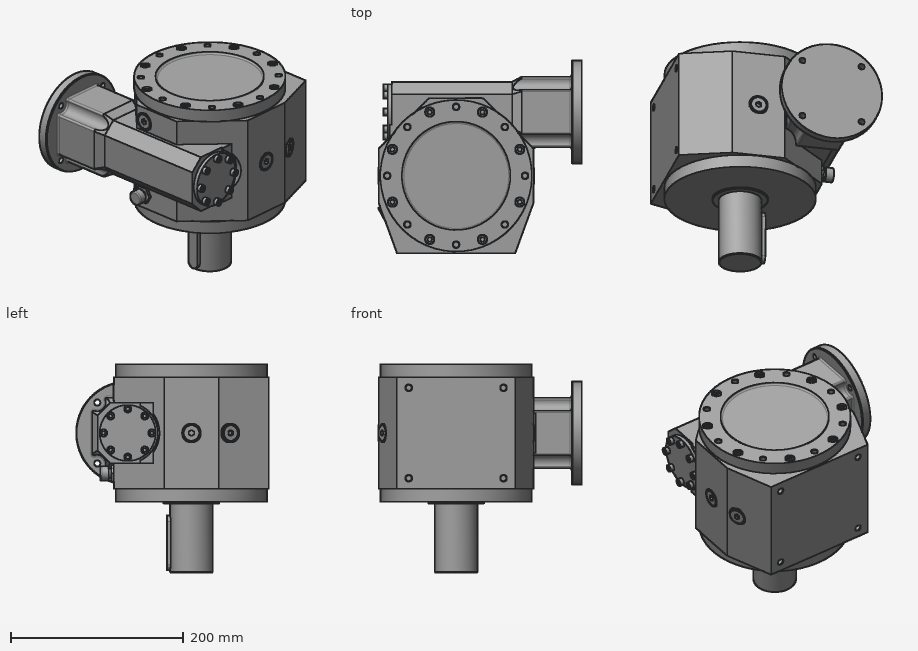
import cadquery as cq
import math


case_half = 90.0
case_height = 130.0
case_corner = 31.5
case_taper_angle = 20.0
case_half_height = case_height / 2
case_taper_run = (case_half - case_corner) * math.tan(math.radians(case_taper_angle))
case_front_half_width = case_half - case_taper_run

cover_diameter = 176.0
cover_thickness = 15.0
cover_face_z = case_half_height + cover_thickness
recess_diameter = 126.0
recess_floor_fillet = 2.0
recess_depth = 2.5
cover_bolt_circle = 160.0
cover_bolt_count = 8
cover_bolt_shift = 180.0 / cover_bolt_count
cover_hole_depth = 15.0
counterbore_diameter = 11.0
counterbore_depth = 8.0
cover_screw_diameter = 10.0
cover_screw_sink = 2.0
cover_screw_hex = 5.0
cover_screw_hex_depth = 3.0

thread_hole_diameter = 6.8
thread_hole_chamfer = 0.6

shaft_diameter = 50.0
shaft_end_z = -162.0
shaft_chamfer = 1.0
collar_diameter = 65.0
collar_height = 2.0
collar_chamfer = 0.7
key_width = 14.0
key_length = 64.0
key_top_y = 28.6
key_end_gap = 2.5

mount_hole_depth = 16.0
mount_spacing_x = 110.0
mount_spacing_z = 105.0

input_y = 74.0
housing_width = 70.0
housing_chamfer = 14.5
housing_x_min = -74.5
housing_x_max = 65.0
pad_x = -76.9
pad_top_y = 59.4
pad_clearance_radius = 35.0
case_clearance_radius = 37.0

cap_diameter = 65.0
cap_thickness = 5.0
cap_x = housing_x_min - cap_thickness
cap_bolt_circle = 56.0
cap_screw_count = 8
cap_screw_diameter = 8.5
cap_screw_height = 5.0
cap_screw_hex = 4.2
cap_screw_hex_depth = 2.5

neck_width = 82.0
neck_corner = 17.0
neck_start_x = 76.0
neck_edge_fillet = 2.0
flange_diameter = 120.0
flange_x = 134.0
flange_end_x = 146.0
flange_chamfer_length = 1.5
flange_chamfer_height = 0.7
flange_root_fillet = 2.0
root_zone_margin = 0.1
flange_bolt_circle = 100.0
flange_hole_diameter = 7.0
scallop_radius = 10.0
fairing_length = 2.2
fairing_height = 1.2
fairing_width = 46.0

plug_seat_diameter = 22.0
plug_diameter = 19.0
plug_chamfer = 0.5
plug_thickness = 3.5
plug_height = 0.5
plug_face_distance = case_half + plug_height
taper_plug_angle = 28.0
taper_plug_radius = 97.5
plug_hex = 6.0
plug_hex_depth = 4.0
rear_plug_x = 20.0
rear_plug_z = 47.0
breather_nut_width = 19.0
breather_nut_height = 3.0
breather_neck_diameter = 11.0
breather_neck_height = 3.2
breather_head_diameter = 17.0
breather_head_height = 9.6
breather_head_fillet = 1.5


def hex_corner_diameter(across_flats):
    return 2 * across_flats / math.sqrt(3)


def x_plane(x):
    """Plane across the input axis, local x along Y and local y along Z."""
    return cq.Plane(origin=(x, input_y, 0), xDir=(0, 1, 0), normal=(1, 0, 0))


def x_cylinder(diameter, x_start, x_end):
    return cq.Workplane(x_plane(x_start)).circle(diameter / 2).extrude(x_end - x_start)


def octagon_points(width, corner):
    half = width / 2
    flat = half - corner
    return [(half, -flat), (half, flat), (flat, half), (-flat, half),
            (-half, flat), (-half, -flat), (-flat, -half), (flat, -half)]


def make_case():
    outline = [
        (-case_front_half_width, -case_half),
        (case_front_half_width, -case_half),
        (case_half, -case_corner),
        (case_half, case_corner),
        (case_corner, case_half),
        (-case_corner, case_half),
        (-case_half, case_corner),
        (-case_half, -case_corner),
    ]
    case = cq.Workplane("XY").polyline(outline).close().extrude(case_half_height, both=True)
    for start_z in (case_half_height, -cover_face_z):
        cover = (
            cq.Workplane("XY").workplane(offset=start_z)
            .circle(cover_diameter / 2).extrude(cover_thickness)
        )
        case = case.union(cover)
    return case


def make_output_shaft():
    shaft = (
        cq.Workplane("XY").workplane(offset=shaft_end_z)
        .circle(shaft_diameter / 2).extrude(-shaft_end_z)
        .faces("<Z").chamfer(shaft_chamfer)
    )
    collar = (
        cq.Workplane("XY").workplane(offset=-cover_face_z - collar_height)
        .circle(collar_diameter / 2).extrude(collar_height)
        .faces("<Z").chamfer(collar_chamfer)
    )
    key = (
        cq.Workplane("XZ", origin=(0, 0, shaft_end_z + key_end_gap + key_length / 2))
        .slot2D(key_length, key_width, 90).extrude(-key_top_y)
    )
    return shaft.union(collar).union(key)


def drill_threads(places, depth):
    """Blind holes, each with a countersunk mouth."""
    mouth_radius = thread_hole_diameter / 2 + thread_hole_chamfer
    holes = places.circle(thread_hole_diameter / 2).extrude(-depth)
    sinks = places.circle(mouth_radius).extrude(-thread_hole_chamfer, taper=45)
    return holes.union(sinks)


def cut_recess(body):
    recess = (
        cq.Workplane("XY").workplane(offset=cover_face_z)
        .circle(recess_diameter / 2).extrude(-recess_depth)
        .faces("<Z").edges().fillet(recess_floor_fillet)
    )
    return body.cut(recess)


def cut_cover_holes(body):
    bolt_radius = cover_bolt_circle / 2
    top = cq.Workplane("XY").workplane(offset=cover_face_z)
    holes = drill_threads(top.polarArray(bolt_radius, 0, 360, cover_bolt_count), cover_hole_depth)
    counterbores = (
        top.polarArray(bolt_radius, cover_bolt_shift, 360, cover_bolt_count)
        .circle(counterbore_diameter / 2).extrude(-counterbore_depth)
    )
    screw_top = (
        top.workplane(offset=-cover_screw_sink)
        .polarArray(bolt_radius, cover_bolt_shift, 360, cover_bolt_count)
    )
    heads = screw_top.circle(cover_screw_diameter / 2).extrude(cover_screw_sink - counterbore_depth)
    sockets = (
        screw_top.polygon(6, hex_corner_diameter(cover_screw_hex)).extrude(-cover_screw_hex_depth)
    )
    return body.cut(holes).cut(counterbores).union(heads.cut(sockets))


def cut_mount_holes(body):
    corners = (
        cq.Workplane("XZ", origin=(0, -case_half, 0))
        .rarray(mount_spacing_x, mount_spacing_z, 2, 2)
    )
    holes = drill_threads(corners, mount_hole_depth)
    return body.cut(holes)


def make_housing():
    housing = (
        cq.Workplane(x_plane(housing_x_min)).rect(housing_width, housing_width)
        .extrude(housing_x_max - housing_x_min)
        .edges("|X and >Y").chamfer(housing_chamfer)
    )
    pad_height = pad_top_y - input_y + housing_width / 2
    pad_center = pad_top_y - pad_height / 2 - input_y
    pad = (
        cq.Workplane(x_plane(pad_x)).center(pad_center, 0)
        .rect(pad_height, housing_width).extrude(housing_x_min - pad_x)
    )
    return housing.union(pad)


def cut_cap_clearance(body):
    pad_pocket = x_cylinder(2 * pad_clearance_radius, pad_x, housing_x_min)
    case_notch = x_cylinder(2 * case_clearance_radius, -case_half, pad_x)
    return body.cut(pad_pocket).cut(case_notch)


def make_cap():
    cap = x_cylinder(cap_diameter, cap_x, housing_x_min)
    seats = cq.Workplane(x_plane(cap_x)).polarArray(cap_bolt_circle / 2, 0, 360, cap_screw_count)
    heads = seats.circle(cap_screw_diameter / 2).extrude(-cap_screw_height)
    sockets = (
        cq.Workplane(x_plane(cap_x - cap_screw_height))
        .polarArray(cap_bolt_circle / 2, 0, 360, cap_screw_count)
        .polygon(6, hex_corner_diameter(cap_screw_hex)).extrude(cap_screw_hex_depth)
    )
    return cap.union(heads).cut(sockets)


def flange_bolt_cylinders(radius, x_start, x_end):
    """Four cylinders along X on the flange bolt positions."""
    pitch = flange_bolt_circle / math.sqrt(2)
    return (
        cq.Workplane(x_plane(x_start)).rarray(pitch, pitch, 2, 2)
        .circle(radius).extrude(x_end - x_start)
    )


def make_neck():
    transition = (
        cq.Workplane(x_plane(housing_x_max))
        .polyline(octagon_points(housing_width, housing_chamfer)).close()
        .workplane(offset=neck_start_x - housing_x_max)
        .polyline(octagon_points(neck_width, neck_corner)).close()
        .loft(ruled=True)
    )
    transition_scallops = flange_bolt_cylinders(scallop_radius, housing_x_max, neck_start_x)
    neck_length = flange_x - neck_start_x
    neck = cq.Workplane(x_plane(neck_start_x)).rect(neck_width, neck_width).extrude(neck_length)
    neck_scallops = flange_bolt_cylinders(scallop_radius, neck_start_x, flange_x)
    neck = neck.cut(neck_scallops).edges("|X").fillet(neck_edge_fillet)
    flange = x_cylinder(flange_diameter, flange_x, flange_end_x)
    flange = flange.faces("<X").edges().chamfer(flange_chamfer_length, flange_chamfer_height)
    neck = neck.union(flange)
    root_zone = cq.selectors.BoxSelector(
        (flange_x - root_zone_margin, input_y - neck_width, -neck_width),
        (flange_x + root_zone_margin, input_y + neck_width, neck_width),
    )
    neck = neck.edges(root_zone).edges("|Y or |Z").fillet(flange_root_fillet)
    holes = flange_bolt_cylinders(flange_hole_diameter / 2, flange_x, flange_end_x)
    return neck.union(transition.cut(transition_scallops)).cut(holes)


def make_fairing():
    neck_side_y = input_y - neck_width / 2
    return (
        cq.Workplane("XY")
        .moveTo(case_half, neck_side_y)
        .lineTo(case_half + fairing_length, neck_side_y)
        .lineTo(case_half, neck_side_y - fairing_height)
        .close().extrude(fairing_width / 2, both=True)
    )


def add_plug(body, face_center, normal):
    """Plug in a round seat that is sunk into the case along the plug axis."""
    face = cq.Workplane(cq.Plane(origin=face_center, xDir=(0, 0, 1), normal=normal))
    seat_plane = face.workplane(offset=-plug_thickness)
    seat = seat_plane.circle(plug_seat_diameter / 2).extrude(2 * plug_thickness)
    plug = (
        seat_plane.circle(plug_diameter / 2).extrude(plug_thickness)
        .faces(cq.selectors.DirectionMinMaxSelector(cq.Vector(*normal))).chamfer(plug_chamfer)
    )
    socket = face.polygon(6, hex_corner_diameter(plug_hex)).extrude(-plug_hex_depth)
    return body.cut(seat).union(plug).cut(socket)


def add_plugs(body):
    angle = math.radians(taper_plug_angle)
    radial = (-math.cos(angle), -math.sin(angle), 0)
    taper_center = tuple(taper_plug_radius * part for part in radial)
    body = add_plug(body, (-plug_face_distance, 0, 0), (-1, 0, 0))
    body = add_plug(body, (plug_face_distance, 0, 0), (1, 0, 0))
    body = add_plug(body, taper_center, radial)
    return add_plug(body, (rear_plug_x, plug_face_distance, rear_plug_z), (0, 1, 0))


def make_breather():
    base = cq.Workplane("XZ", origin=(rear_plug_x, case_half, -rear_plug_z))
    neck_base = -breather_nut_height
    head_base = neck_base - breather_neck_height
    nut = base.polygon(6, hex_corner_diameter(breather_nut_width)).extrude(neck_base)
    neck = base.circle(breather_neck_diameter / 2).extrude(head_base)
    head = (
        base.workplane(offset=head_base)
        .circle(breather_head_diameter / 2).extrude(-breather_head_height)
        .faces(">Y").edges().fillet(breather_head_fillet)
    )
    return nut.union(neck).union(head)


body = make_case().union(make_output_shaft())
body = cut_recess(body)
body = cut_cover_holes(body)
body = cut_mount_holes(body)
body = body.union(make_housing())
body = cut_cap_clearance(body)
body = body.union(make_cap()).union(make_neck()).union(make_fairing())
body = add_plugs(body)
result = body.union(make_breather())